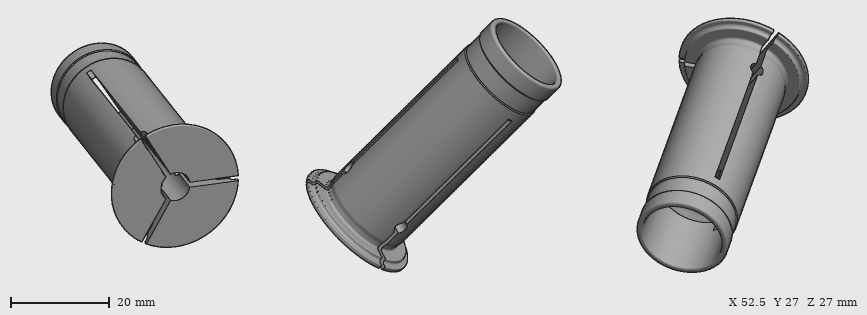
import cadquery as cq
import math

LENGTH = 52.5
FLANGE_RADIUS = 13.5
BODY_RADIUS = 9.55

RELIEF_DEPTH = 0.2
FRONT_ROUND = 0.5
COLLAR_END = 3.85
GROOVE_END = 8.05
GROOVE_CHAMFER = 0.25

BODY_END = 48.45
NECK_START = 49.3
NECK_FILLET = 0.45

FLANGE_STEP_START = 50.6
FLANGE_STEP_RADIUS = 12.15
FLANGE_STEP_ROUND = 0.2
FLANGE_STEP_FILLET = 0.6
RIM_THICKNESS = 0.95
RIM_ROUND = 0.2

BORE_RADIUS = 8.3
MOUTH_ROUND = 0.4
BORE_END = 14.3
CONE_START_RADIUS = 7.4
CONE_START = 15.05
CHANNEL_RADIUS = 3.1
CONE_END = 17.95

SLOT_COUNT = 3
SLOT_WIDTH = 1.1
SLOT_START = 10.5
HOLE_DIAMETER = 2.9
HOLE_POSITION = 44.0


def point_on_circle(center, radius, degrees):
    """Point on a circle in the (axial, radial) plane."""
    angle = math.radians(degrees)
    return (center[0] + radius * math.cos(angle), center[1] + radius * math.sin(angle))


def revolve_about_x(profile):
    return profile.close().revolve(360, (0, 0, 0), (1, 0, 0))


def make_outside():
    """Solid collar, groove, body, neck and flange."""
    neck_radius = BODY_RADIUS - RELIEF_DEPTH
    rim_start = LENGTH - RIM_THICKNESS
    neck_fillet_center = (FLANGE_STEP_START - NECK_FILLET, neck_radius + NECK_FILLET)
    fillet_start = rim_start - FLANGE_STEP_FILLET
    fillet_end_radius = FLANGE_STEP_RADIUS + FLANGE_STEP_FILLET
    step_fillet_center = (fillet_start, fillet_end_radius)
    step_round_end = FLANGE_STEP_START + FLANGE_STEP_ROUND
    step_round_center = (step_round_end, FLANGE_STEP_RADIUS - FLANGE_STEP_ROUND)
    profile = (
        cq.Workplane("XY")
        .lineTo(0, BODY_RADIUS - FRONT_ROUND)
        .threePointArc(
            point_on_circle((FRONT_ROUND, BODY_RADIUS - FRONT_ROUND), FRONT_ROUND, 135),
            (FRONT_ROUND, BODY_RADIUS),
        )
        .lineTo(COLLAR_END, BODY_RADIUS)
        .lineTo(COLLAR_END + RELIEF_DEPTH, neck_radius)
        .lineTo(GROOVE_END, neck_radius)
        .lineTo(GROOVE_END + GROOVE_CHAMFER, BODY_RADIUS)
        .lineTo(BODY_END, BODY_RADIUS)
        .lineTo(NECK_START, neck_radius)
        .lineTo(neck_fillet_center[0], neck_radius)
        .threePointArc(
            point_on_circle(neck_fillet_center, NECK_FILLET, -45),
            (FLANGE_STEP_START, neck_fillet_center[1]),
        )
        .lineTo(FLANGE_STEP_START, step_round_center[1])
        .threePointArc(
            point_on_circle(step_round_center, FLANGE_STEP_ROUND, 135),
            (step_round_end, FLANGE_STEP_RADIUS),
        )
        .lineTo(fillet_start, FLANGE_STEP_RADIUS)
        .threePointArc(
            point_on_circle(step_fillet_center, FLANGE_STEP_FILLET, -45),
            (rim_start, fillet_end_radius),
        )
        .lineTo(rim_start, FLANGE_RADIUS)
        .lineTo(LENGTH, FLANGE_RADIUS)
        .lineTo(LENGTH, 0)
    )
    rim_edges = cq.selectors.RadiusNthSelector(-1)
    solid = revolve_about_x(profile)
    return solid.edges(rim_edges).fillet(RIM_ROUND)


def make_cavity():
    """Wide front bore that narrows through a cone to the rear channel."""
    mouth_radius = BORE_RADIUS + MOUTH_ROUND
    profile = (
        cq.Workplane("XY")
        .lineTo(0, mouth_radius)
        .threePointArc(
            point_on_circle((MOUTH_ROUND, mouth_radius), MOUTH_ROUND, 225),
            (MOUTH_ROUND, BORE_RADIUS),
        )
        .lineTo(BORE_END, BORE_RADIUS)
        .lineTo(CONE_START, CONE_START_RADIUS)
        .lineTo(CONE_END, CHANNEL_RADIUS)
        .lineTo(LENGTH, CHANNEL_RADIUS)
        .lineTo(LENGTH, 0)
    )
    return revolve_about_x(profile)


def make_slot():
    """Slot through the +Y wall, with a cross hole along it."""
    slot = (
        cq.Workplane("XY")
        .moveTo(SLOT_START + BODY_RADIUS, 0)
        .lineTo(SLOT_START, BODY_RADIUS)
        .lineTo(SLOT_START, FLANGE_RADIUS)
        .lineTo(LENGTH, FLANGE_RADIUS)
        .lineTo(LENGTH, 0)
        .close()
        .extrude(SLOT_WIDTH / 2, both=True)
    )
    hole = (
        cq.Workplane("XZ")
        .center(HOLE_POSITION, 0)
        .circle(HOLE_DIAMETER / 2)
        .extrude(-BODY_RADIUS)
    )
    return slot.union(hole)


result = make_outside().cut(make_cavity())
for index in range(SLOT_COUNT):
    angle = index * 360 / SLOT_COUNT
    result = result.cut(make_slot().rotate((0, 0, 0), (1, 0, 0), angle))